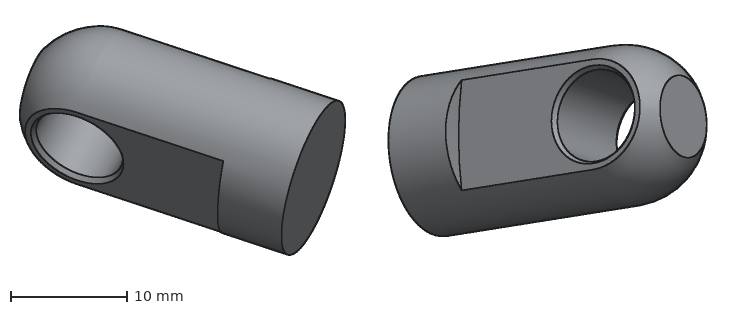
import cadquery as cq
import math

length = 26.0
body_diameter = 14.0
nose_center_x = 6.0
flat_thickness = 10.0
shoulder_x = 20.02
shoulder_radius = 37.45
eye_diameter = 8.1
eye_chamfer_depth = 0.5
eye_chamfer_angle = 30.0

body_radius = body_diameter / 2
half_flat = flat_thickness / 2
shoulder_center_x = shoulder_x - shoulder_radius
shoulder_edge_x = shoulder_center_x + math.sqrt(shoulder_radius**2 - body_radius**2)


def rod_body():
    """Revolved rod with a spherical nose cut off flat at x = 0."""
    tip_radius = math.sqrt(body_radius**2 - nose_center_x**2)
    tip_angle = math.atan2(tip_radius, -nose_center_x)
    mid_angle = (tip_angle + math.pi / 2) / 2
    arc_middle = (
        nose_center_x + body_radius * math.cos(mid_angle),
        body_radius * math.sin(mid_angle),
    )
    return (
        cq.Workplane("XY")
        .lineTo(0, tip_radius)
        .threePointArc(arc_middle, (nose_center_x, body_radius))
        .lineTo(length, body_radius)
        .lineTo(length, 0)
        .close()
        .revolve(360, (0, 0, 0), (1, 0, 0))
    )


def side_relief(side):
    """Material outside one flat (side = +1 or -1), ending at the hollow curved shoulder."""
    low_y, high_y = sorted((side * half_flat, side * body_radius))
    return (
        cq.Workplane("XZ", origin=(0, high_y, 0))
        .moveTo(0, -body_radius)
        .lineTo(shoulder_edge_x, -body_radius)
        .threePointArc((shoulder_x, 0), (shoulder_edge_x, body_radius))
        .lineTo(0, body_radius)
        .close()
        .extrude(high_y - low_y)
    )


def eye_cutter():
    """Cross hole along Y, widened by a chamfer at each flat."""
    hole_radius = eye_diameter / 2
    rim_radius = hole_radius + eye_chamfer_depth * math.tan(math.radians(eye_chamfer_angle))
    chamfer_start = half_flat - eye_chamfer_depth
    return (
        cq.Workplane("XY")
        .polyline([
            (nose_center_x, -half_flat),
            (nose_center_x + rim_radius, -half_flat),
            (nose_center_x + hole_radius, -chamfer_start),
            (nose_center_x + hole_radius, chamfer_start),
            (nose_center_x + rim_radius, half_flat),
            (nose_center_x, half_flat),
        ])
        .close()
        .revolve(360, (nose_center_x, 0, 0), (nose_center_x, 1, 0))
    )


result = rod_body()
for side in (-1, 1):
    result = result.cut(side_relief(side))
result = result.cut(eye_cutter())